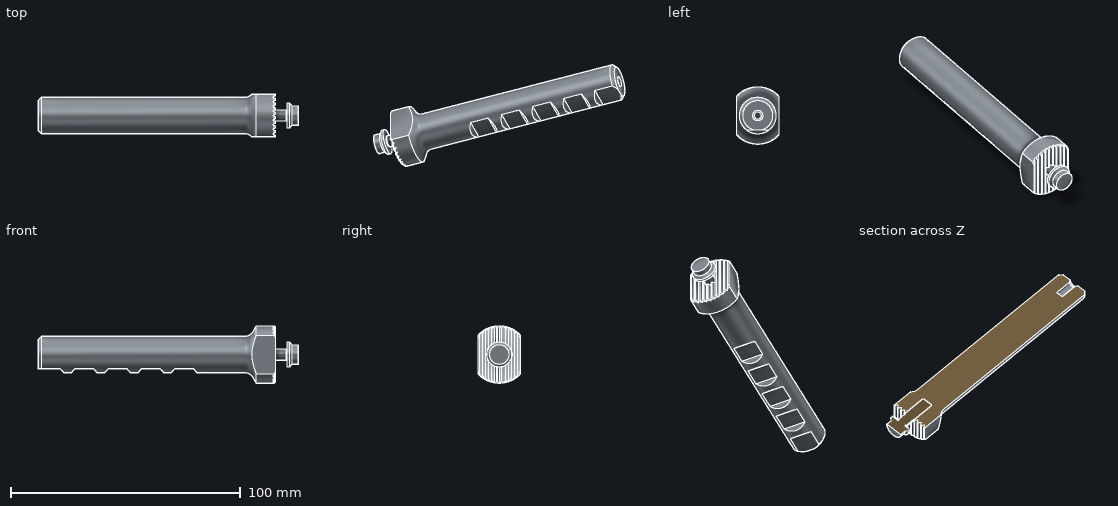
import cadquery as cq
import math

overall_length = 113.2

shaft_diameter = 16.0
shaft_radius = shaft_diameter / 2
end_chamfer = 1.5
fillet_start = 90.0
flare_fillet_radius = 4.0
flare_angle = math.radians(60)
head_diameter = 25.0
head_radius = head_diameter / 2
head_face = 103.4
head_edge_chamfer = 0.7
head_width = 18.6

flat_height = 6.2
rib_count = 4
rib_pitch = 14.5
first_rib_center = 12.8
rib_tip_width = 3.2
rib_flank_run = 1.6
rib_flank_slope = rib_flank_run / (shaft_radius - flat_height)

groove_count = 9
outer_groove_spacing = 16.0
groove_pitch = outer_groove_spacing / (groove_count - 1)
groove_depth = 1.2
groove_angle = math.radians(60)
groove_width = 2 * groove_depth * math.tan(groove_angle / 2)

end_hole_diameter = 3.0
end_hole_mouth_diameter = 4.5
end_hole_mouth_depth = 1.2
end_hole_depth = 9.0

pin_diameter = 5.0
pin_insertion = 11.3
relief_diameter = 4.2
relief_width = 0.3
collar_diameter = 11.0
collar_start = 108.2
collar_thickness = 1.1
collar_cone_length = 1.1
tip_diameter = 8.5

clearance = 1.1


def revolve_about_x(profile):
    """Turn a closed XY profile into a solid of revolution about the X axis."""
    return profile.close().revolve(360, (0, 0, 0), (1, 0, 0))


def make_handle_blank():
    """Round shaft flaring through a fillet and a cone into the head, with two parallel side flats."""
    fillet_end_x = fillet_start + flare_fillet_radius * math.sin(flare_angle)
    fillet_end_radius = shaft_radius + flare_fillet_radius * (1 - math.cos(flare_angle))
    fillet_mid_x = fillet_start + flare_fillet_radius * math.sin(flare_angle / 2)
    fillet_mid_radius = shaft_radius + flare_fillet_radius * (1 - math.cos(flare_angle / 2))
    cone_end_x = fillet_end_x + (head_radius - fillet_end_radius) / math.tan(flare_angle)
    blank = revolve_about_x(
        cq.Workplane("XY")
        .moveTo(0, 0)
        .lineTo(0, shaft_radius - end_chamfer)
        .lineTo(end_chamfer, shaft_radius)
        .lineTo(fillet_start, shaft_radius)
        .threePointArc((fillet_mid_x, fillet_mid_radius), (fillet_end_x, fillet_end_radius))
        .lineTo(cone_end_x, head_radius)
        .lineTo(head_face - head_edge_chamfer, head_radius)
        .lineTo(head_face, head_radius - head_edge_chamfer)
        .lineTo(head_face, 0)
    )
    between_flats = cq.Workplane("XY").box(
        head_face, head_width, head_diameter, centered=(False, True, True)
    )
    return blank.intersect(between_flats)


def rib_profile(center):
    """XZ outline of a rib that narrows from the flat to the shaft surface and on below it."""
    bottom = -shaft_radius - clearance
    root_half = rib_tip_width / 2 + rib_flank_run
    bottom_half = rib_tip_width / 2 - clearance * rib_flank_slope
    return [
        (center - root_half, -flat_height),
        (center + root_half, -flat_height),
        (center + bottom_half, bottom),
        (center - bottom_half, bottom),
    ]


def extrude_across(points):
    """Extrude an XZ outline across the full width of the handle."""
    return cq.Workplane("XZ").polyline(points).close().extrude(head_width / 2, both=True)


def make_underside_cutter():
    """Material to remove below the flat: open at the free end, sloped at the other, minus the ribs."""
    bottom = -shaft_radius - clearance
    tip_edge = first_rib_center + rib_count * rib_pitch - rib_tip_width / 2
    cutter = extrude_across(
        [
            (-clearance, -flat_height),
            (tip_edge - rib_flank_run, -flat_height),
            (tip_edge + clearance * rib_flank_slope, bottom),
            (-clearance, bottom),
        ]
    )
    for index in range(rib_count):
        cutter = cutter.cut(extrude_across(rib_profile(first_rib_center + index * rib_pitch)))
    return cutter


def cut_serrations(handle):
    """Cut parallel V grooves, running along Z, into the head face."""
    for index in range(groove_count):
        center = (index - (groove_count - 1) / 2) * groove_pitch
        groove = (
            cq.Workplane("XY")
            .moveTo(head_face - groove_depth, center)
            .lineTo(head_face, center + groove_width / 2)
            .lineTo(head_face, center - groove_width / 2)
            .close()
            .extrude(head_radius, both=True)
        )
        handle = handle.cut(groove)
    return handle


def make_end_hole():
    """Blind hole with a tapered mouth."""
    hole_radius = end_hole_diameter / 2
    mouth_radius = end_hole_mouth_diameter / 2
    return revolve_about_x(
        cq.Workplane("XY")
        .moveTo(0, 0)
        .lineTo(0, mouth_radius)
        .lineTo(end_hole_mouth_depth, hole_radius)
        .lineTo(end_hole_depth, hole_radius)
        .lineTo(end_hole_depth, 0)
    )


def make_pin_socket():
    """Blind hole in the head face that holds the pin."""
    return (
        cq.Workplane("YZ", origin=(head_face - pin_insertion, 0, 0))
        .circle(pin_diameter / 2)
        .extrude(pin_insertion)
    )


def make_handle():
    handle = make_handle_blank().cut(make_underside_cutter())
    handle = cut_serrations(handle)
    return handle.cut(make_end_hole()).cut(make_pin_socket())


def make_pin():
    """Pin with a relief neck, a thin collar, and a tip joined to the collar by a cone."""
    pin_radius = pin_diameter / 2
    relief_radius = relief_diameter / 2
    collar_radius = collar_diameter / 2
    tip_radius = tip_diameter / 2
    collar_end = collar_start + collar_thickness
    return revolve_about_x(
        cq.Workplane("XY")
        .moveTo(head_face - pin_insertion, 0)
        .lineTo(head_face - pin_insertion, pin_radius)
        .lineTo(collar_start - relief_width, pin_radius)
        .lineTo(collar_start - relief_width, relief_radius)
        .lineTo(collar_start, relief_radius)
        .lineTo(collar_start, collar_radius)
        .lineTo(collar_end, collar_radius)
        .lineTo(collar_end + collar_cone_length, tip_radius)
        .lineTo(overall_length, tip_radius)
        .lineTo(overall_length, 0)
    )


handle = make_handle()
pin = make_pin()

result = cq.Compound.makeCompound([handle.val(), pin.val()])